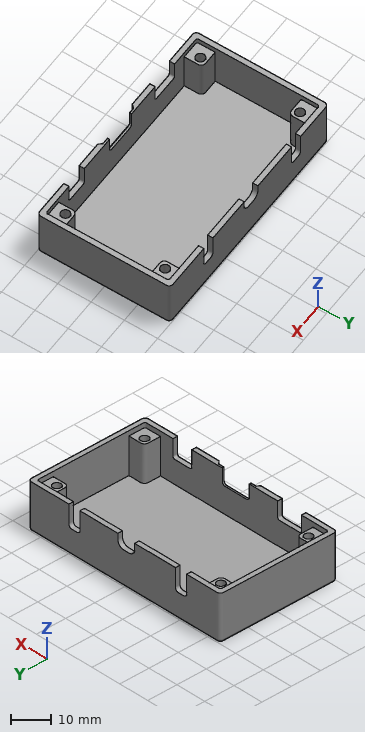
import cadquery as cq

length = 69.0
width = 40.0
height = 15.0
wall = 1.6
floor = 1.5
corner_radius = 1.2
bottom_radius = 1.0

inner_length = length - 2 * wall
inner_width = width - 2 * wall
cavity_corner_radius = 0.6
post_drop = 1.6
post_top = height - post_drop
post_size = 5.5
post_radius = 1.3
screw_hole_diameter = 2.7
screw_inset = 5.05

front_notches = [
    (-19.0, 8.5, 5.5, 0.6),
    (0.35, 9.65, 5.05, 1.05),
    (19.5, 6.7, 5.9, 0.6),
]
back_notches = [
    (-20.4, 4.0, 7.0, 1.05),
    (-0.75, 6.0, 3.9, 2.1),
    (17.9, 4.0, 7.0, 1.05),
]

recess_center = 0.5
recess_width = 15.0
recess_drop = 6.9
recess_depth = 1.0
recess_taper = 0.75


def make_shell():
    """Rounded box with an open cavity."""
    box = cq.Workplane("XY").box(length, width, height, centered=(True, True, False))
    box = box.edges("|Z").fillet(corner_radius)
    box = box.faces("<Z").edges().fillet(bottom_radius)
    cavity = (
        cq.Workplane("XY")
        .workplane(offset=floor)
        .rect(inner_length, inner_width)
        .extrude(height - floor)
        .edges("|Z")
        .fillet(cavity_corner_radius)
    )
    return box.cut(cavity)


def make_post(side_x, side_y):
    """Corner post, run into both walls, with its free edge rounded."""
    reach = post_size + wall / 2
    center_x = side_x * (inner_length / 2 - post_size + reach / 2)
    center_y = side_y * (inner_width / 2 - post_size + reach / 2)
    free_edge = ("<X" if side_x > 0 else ">X", "<Y" if side_y > 0 else ">Y")
    return (
        cq.Workplane("XY")
        .workplane(offset=floor)
        .center(center_x, center_y)
        .rect(reach, reach)
        .extrude(post_top - floor)
        .faces(free_edge[0])
        .edges("|Z and " + free_edge[1])
        .fillet(post_radius)
    )


def make_screw_holes():
    """Blind holes running from the post tops down to the floor."""
    return (
        cq.Workplane("XY")
        .workplane(offset=floor)
        .rect(length - 2 * screw_inset, width - 2 * screw_inset, forConstruction=True)
        .vertices()
        .circle(screw_hole_diameter / 2)
        .extrude(post_top - floor)
    )


def make_notch(side_y, center_x, notch_width, depth, radius):
    """Cutter for a notch through one long wall, open at the rim."""
    return (
        cq.Workplane("XY")
        .box(notch_width, wall, depth, centered=(True, True, False))
        .edges("|Y and <Z")
        .fillet(radius)
        .translate((center_x, side_y * (width - wall) / 2, height - depth))
    )


def make_plug_recess():
    """Cutter narrowing from the front face inwards, open at the rim."""
    mouth_half = recess_width / 2
    bottom_half = mouth_half - recess_taper
    mouth_floor = height - recess_drop
    mouth = [
        (recess_center - mouth_half, height),
        (recess_center - mouth_half, mouth_floor),
        (recess_center + mouth_half, mouth_floor),
        (recess_center + mouth_half, height),
    ]
    bottom = [
        (recess_center - bottom_half, height),
        (recess_center - bottom_half, mouth_floor + recess_taper),
        (recess_center + bottom_half, mouth_floor + recess_taper),
        (recess_center + bottom_half, height),
    ]
    return (
        cq.Workplane("XZ", origin=(0, -width / 2, 0))
        .polyline(mouth)
        .close()
        .workplane(offset=-recess_depth)
        .polyline(bottom)
        .close()
        .loft(ruled=True)
    )


result = make_shell()
for side_x in (-1, 1):
    for side_y in (-1, 1):
        result = result.union(make_post(side_x, side_y))
result = result.cut(make_screw_holes())
for notch in front_notches:
    result = result.cut(make_notch(-1, *notch))
for notch in back_notches:
    result = result.cut(make_notch(1, *notch))
result = result.cut(make_plug_recess())